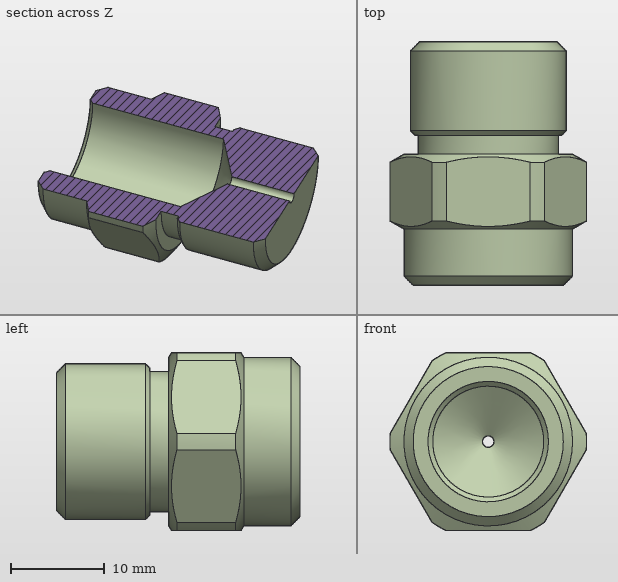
import cadquery as cq
import math

total_length = 26.0
socket_end_diameter = 18.0
socket_end_length = 6.0
hex_length = 8.0
hex_across_flats = 19.0
hex_corner_diameter = 21.0
neck_diameter = 15.0
neck_length = 2.0
spigot_diameter = 16.67
end_chamfer = 1.0
spigot_inner_chamfer = 0.5
bevel_slope = math.tan(math.radians(30))

bore_diameter = 11.83
bore_mouth_diameter = 12.85
bore_depth = 15.6
bore_cone_angle = 118.0
through_hole_diameter = 1.2

front_y = -total_length / 2
rear_y = total_length / 2
hex_front_y = front_y + socket_end_length
hex_rear_y = hex_front_y + hex_length
neck_rear_y = hex_rear_y + neck_length


def revolve_about_y(profile):
    """Revolve a list of (radius, y) points around the Y axis."""
    return cq.Workplane("XY").polyline(profile).close().revolve(360, (0, 0), (0, 1))


def make_turned_body():
    socket_radius = socket_end_diameter / 2
    neck_radius = neck_diameter / 2
    spigot_radius = spigot_diameter / 2
    return revolve_about_y([
        (0, front_y),
        (socket_radius - end_chamfer, front_y),
        (socket_radius, front_y + end_chamfer),
        (socket_radius, hex_rear_y),
        (neck_radius, hex_rear_y),
        (neck_radius, neck_rear_y),
        (spigot_radius - spigot_inner_chamfer, neck_rear_y),
        (spigot_radius, neck_rear_y + spigot_inner_chamfer),
        (spigot_radius, rear_y - end_chamfer),
        (spigot_radius - end_chamfer, rear_y),
        (0, rear_y),
    ])


def make_hex():
    """Hexagon with flats facing up and down, rounded corners and 30 degree end bevels."""
    sharp_corner_diameter = hex_across_flats / math.cos(math.radians(30))
    prism = (
        cq.Workplane("XZ", origin=(0, hex_rear_y, 0))
        .polygon(6, sharp_corner_diameter)
        .extrude(hex_length)
    )
    corner_radius = hex_corner_diameter / 2
    face_radius = socket_end_diameter / 2
    bevel = (corner_radius - face_radius) * bevel_slope
    envelope = revolve_about_y([
        (0, hex_front_y),
        (face_radius, hex_front_y),
        (corner_radius, hex_front_y + bevel),
        (corner_radius, hex_rear_y - bevel),
        (face_radius, hex_rear_y),
        (0, hex_rear_y),
    ])
    return prism.intersect(envelope)


def make_bore():
    bore_radius = bore_diameter / 2
    mouth_radius = bore_mouth_diameter / 2
    hole_radius = through_hole_diameter / 2
    mouth_chamfer = mouth_radius - bore_radius
    cone_start_y = front_y + bore_depth
    cone_length = (bore_radius - hole_radius) / math.tan(math.radians(bore_cone_angle / 2))
    return revolve_about_y([
        (0, front_y),
        (mouth_radius, front_y),
        (bore_radius, front_y + mouth_chamfer),
        (bore_radius, cone_start_y),
        (hole_radius, cone_start_y + cone_length),
        (hole_radius, rear_y),
        (0, rear_y),
    ])


result = make_turned_body().union(make_hex()).cut(make_bore())